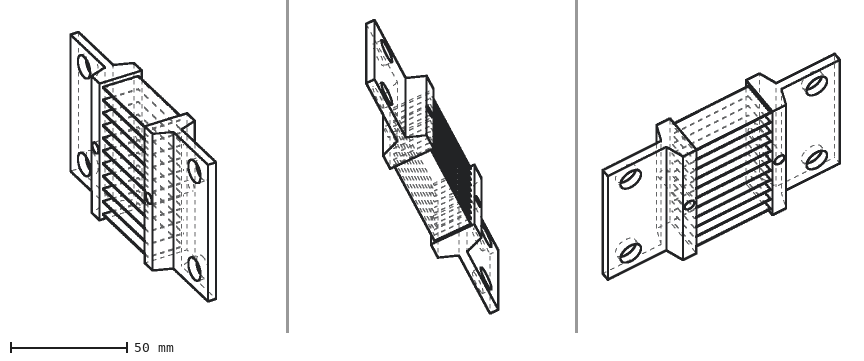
import cadquery as cq

length = 119.0
depth = 21.0
height = 70.0

flange_thickness = 4.0
flare_start_x = 29.5
bar_outer_x = 26.4
bar_inner_x = 19.5

mount_hole_diameter = 10.5
mount_hole_x = 47.7
mount_hole_z = 25.0
pin_hole_diameter = 5.0
pin_hole_x = 23.1

fin_count = 11
fin_stack_height = 65.0
fin_pitch = fin_stack_height / (fin_count - 1)
fin_thickness = 0.5
fin_depth = 17.5


def end_block():
    """Right-hand flange and clamp bar, extruded over the full height."""
    half_flange = flange_thickness / 2
    half_depth = depth / 2
    outline = [
        (length / 2, -half_flange),
        (length / 2, half_flange),
        (flare_start_x, half_flange),
        (bar_outer_x, half_depth),
        (bar_inner_x, half_depth),
        (bar_inner_x, -half_depth),
        (bar_outer_x, -half_depth),
        (flare_start_x, -half_flange),
    ]
    return cq.Workplane("XY", origin=(0, 0, -height / 2)).polyline(outline).close().extrude(height)


def fin(z):
    """One fin spanning the gap between the inner faces of the clamp bars."""
    return cq.Workplane("XY").box(2 * bar_inner_x, fin_depth, fin_thickness).translate((0, 0, z))


def through_holes(diameter, centers):
    """Cutters along Y at the given (x, z) centers."""
    back_plane = cq.Workplane("XZ", origin=(0, depth / 2, 0))
    return back_plane.pushPoints(centers).circle(diameter / 2).extrude(depth)


right_block = end_block()
result = right_block.mirror("YZ")

for index in range(fin_count):
    fin_z = index * fin_pitch - fin_stack_height / 2
    result = result.union(fin(fin_z))
result = result.union(right_block)

mount_centers = [(x, z) for x in (-mount_hole_x, mount_hole_x) for z in (-mount_hole_z, mount_hole_z)]
pin_centers = [(-pin_hole_x, 0), (pin_hole_x, 0)]
result = result.cut(through_holes(mount_hole_diameter, mount_centers))
result = result.cut(through_holes(pin_hole_diameter, pin_centers))